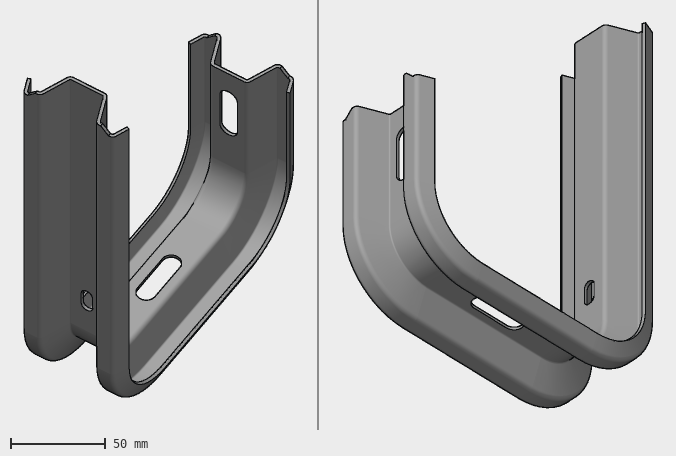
import cadquery as cq
import math


LONG_LEG_HEIGHT = 245.0
SHORT_LEG_HEIGHT = 120.0
J_WIDTH = 175.0
CORNER_RADIUS = 45.0

THICKNESS = 2.0
STRIP_WIDTH = 64.2
SECTION_DEPTH = 20.0
WEB_WIDTH = 19.5
LIP_DEPTH = 9.8
WALL_TILT = 21.5
BEND_INNER_RADIUS = 1.0

RELIEF_DEPTH = 5.0
RELIEF_HALF_WIDTH = 20.5

WIDE_SLOT_LENGTH = 35.0
WIDE_SLOT_WIDTH = 11.0
SHORT_LEG_SLOT_BOTTOM = 70.3
LONG_LEG_SLOT_LENGTH = 15.5
LONG_LEG_SLOT_WIDTH = 7.0
LONG_LEG_SLOT_CENTER = 70.0

HALF_WIDTH = J_WIDTH / 2
BEND_ANGLE = math.radians(90 - WALL_TILT)
BEND_MIDDLE_RADIUS = BEND_INNER_RADIUS + THICKNESS / 2
BEND_OUTER_RADIUS = BEND_INNER_RADIUS + THICKNESS


def straight_length(depth, radius, bend_count):
    """Length of the tilted straight that, with its bends, spans the given depth."""
    return (depth - bend_count * radius * (1 - math.cos(BEND_ANGLE))) / math.sin(BEND_ANGLE)


WALL_LENGTH = straight_length(SECTION_DEPTH - THICKNESS, BEND_MIDDLE_RADIUS, 2)
LIP_LENGTH = straight_length(LIP_DEPTH, BEND_OUTER_RADIUS, 1)

BENDS_RUN = (2 * BEND_MIDDLE_RADIUS + BEND_OUTER_RADIUS) * math.sin(BEND_ANGLE)
TILTED_RUN = (WALL_LENGTH + LIP_LENGTH) * math.cos(BEND_ANGLE)
FLANGE_WIDTH = (STRIP_WIDTH - WEB_WIDTH) / 2 - BENDS_RUN - TILTED_RUN


def arc_point(center, radius, angle):
    """Point on a bend where the strip heads at the given angle; a right turn has a negative radius."""
    return (center[0] + radius * math.sin(angle), center[1] - radius * math.cos(angle))


def section_side(offset):
    """Trace one face of the right half of the strip, offset from its middle surface.

    Returns the start point and a list of (bend middle, bend end, straight end).
    Local x runs across the strip; local y is zero at the flange and negative at the web.
    """
    bends = [(BEND_ANGLE, WALL_LENGTH), (-BEND_ANGLE, FLANGE_WIDTH), (-BEND_ANGLE, LIP_LENGTH)]

    x = WEB_WIDTH / 2
    y = THICKNESS / 2 - SECTION_DEPTH + offset
    start = (x, y)
    heading = 0.0
    steps = []
    for turn, length in bends:
        radius = math.copysign(BEND_MIDDLE_RADIUS, turn) - offset
        center = (x - radius * math.sin(heading), y + radius * math.cos(heading))
        middle = arc_point(center, radius, heading + turn / 2)
        heading += turn
        bend_end = arc_point(center, radius, heading)
        x = bend_end[0] + length * math.cos(heading)
        y = bend_end[1] + length * math.sin(heading)
        steps.append((middle, bend_end, (x, y)))
    return start, steps


def strip_section():
    """Closed outline of the whole strip, drawn at the top of the short leg."""
    lower_start, lower_steps = section_side(-THICKNESS / 2)
    upper_start, upper_steps = section_side(THICKNESS / 2)

    outline = cq.Workplane("XY", origin=(0, HALF_WIDTH, SHORT_LEG_HEIGHT))
    outline = outline.moveTo(0, lower_start[1]).lineTo(*lower_start)
    for middle, bend_end, straight_end in lower_steps:
        outline = outline.threePointArc(middle, bend_end).lineTo(*straight_end)

    outline = outline.lineTo(*upper_steps[-1][2])
    bend_starts = [upper_start] + [step[2] for step in upper_steps[:-1]]
    for (middle, bend_end, _), bend_start in zip(reversed(upper_steps), reversed(bend_starts)):
        outline = outline.lineTo(*bend_end).threePointArc(middle, bend_start)
    return outline.lineTo(0, upper_start[1]).mirrorY()


def j_path():
    """Path of the flange face, from the top of the short leg to the top of the long leg."""
    r = CORNER_RADIUS
    diagonal = r * math.sqrt(0.5)
    bend_y = HALF_WIDTH - r
    return (
        cq.Workplane("YZ")
        .moveTo(HALF_WIDTH, SHORT_LEG_HEIGHT)
        .lineTo(HALF_WIDTH, r)
        .threePointArc((bend_y + diagonal, r - diagonal), (bend_y, 0))
        .lineTo(-bend_y, 0)
        .threePointArc((-bend_y - diagonal, r - diagonal), (-HALF_WIDTH, r))
        .lineTo(-HALF_WIDTH, LONG_LEG_HEIGHT)
    )


def end_relief(leg_height, outer_y):
    """Material removed beside the top of a leg that reaches from Y = 0 to outer_y."""
    bottom = leg_height - RELIEF_DEPTH
    right = (
        cq.Workplane("XZ")
        .polyline(
            [
                (RELIEF_HALF_WIDTH, leg_height),
                (RELIEF_HALF_WIDTH + RELIEF_DEPTH, bottom),
                (STRIP_WIDTH / 2, bottom),
                (STRIP_WIDTH / 2, leg_height),
            ]
        )
        .close()
        .extrude(-outer_y)
    )
    return right.union(right.mirror("YZ"))


def leg_slot(length, width, center_z, outer_y):
    """Upright slot cutter through the leg that reaches from Y = 0 to outer_y."""
    return cq.Workplane("XZ").center(0, center_z).slot2D(length, width, 90).extrude(-outer_y)


hanger = strip_section().sweep(j_path())

hanger = hanger.cut(end_relief(SHORT_LEG_HEIGHT, HALF_WIDTH))
hanger = hanger.cut(end_relief(LONG_LEG_HEIGHT, -HALF_WIDTH))

short_leg_slot_center = SHORT_LEG_SLOT_BOTTOM + WIDE_SLOT_LENGTH / 2
hanger = hanger.cut(leg_slot(WIDE_SLOT_LENGTH, WIDE_SLOT_WIDTH, short_leg_slot_center, HALF_WIDTH))
hanger = hanger.cut(
    leg_slot(LONG_LEG_SLOT_LENGTH, LONG_LEG_SLOT_WIDTH, LONG_LEG_SLOT_CENTER, -HALF_WIDTH)
)

base_slot = cq.Workplane("XY").slot2D(WIDE_SLOT_LENGTH, WIDE_SLOT_WIDTH, 90).extrude(SECTION_DEPTH)
result = hanger.cut(base_slot)